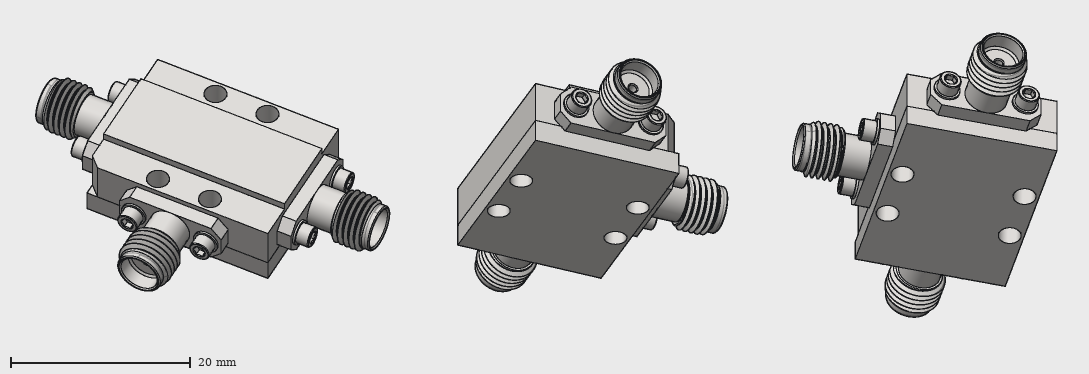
import cadquery as cq
import math

block_x = 22.61
block_y = 17.27
total_height = 8.51
plate_thickness = 2.67
strip_height = 0.89
strip_width = 9.14
corner_chamfer = 1.32

mount_hole_diameter = 2.54
mount_hole_spacing_x = 6.5
mount_hole_spacing_y = 14.05

axis_height = 4.57
flange_length = 12.7
flange_height = 4.83
flange_thickness = 1.73
flange_chamfer = 1.27

connector_length = 9.525
neck_diameter = 4.83
barrel_length = 4.75
root_diameter = 5.33
face_chamfer = 0.13
front_ring_length = 0.9

bore_diameter = 4.52
bore_mouth_diameter = 4.83
bore_depth = 1.85
cone_end_diameter = 3.9
cone_depth = 0.2
contact_hole_diameter = 0.94
contact_mouth_diameter = 1.19
contact_depth = 1.5

thread_diameter = 6.35
threads_per_inch = 36
thread_pitch = 25.4 / threads_per_inch
ridge_base = 0.9 * thread_pitch
crest_flat = 0.06
root_overlap = 0.05
crest_clearance = 0.1

screw_spacing = 9.0
washer_diameter = 2.95
washer_thickness = 0.25
head_diameter = 2.44
head_height = 1.54
head_chamfer = 0.1
socket_flats = 1.27
socket_depth = 0.8
socket_mouth_diameter = 1.52

housing_top = total_height - strip_height
barrel_start = connector_length - barrel_length
thread_end = connector_length - front_ring_length


def cut_mount_holes(body):
    """Drill the four vertical mounting holes through a body."""
    drills = (
        cq.Workplane("XY")
        .rarray(mount_hole_spacing_x, mount_hole_spacing_y, 2, 2)
        .circle(mount_hole_diameter / 2)
        .extrude(total_height)
    )
    return body.cut(drills)


def make_base_plate():
    plate = cq.Workplane("XY").box(block_x, block_y, plate_thickness, centered=(True, True, False))
    return cut_mount_holes(plate)


def make_block():
    """Block on the plate, with a raised centre strip and one chamfered corner."""
    block = (
        cq.Workplane("XY", origin=(0, 0, plate_thickness))
        .box(block_x, block_y, housing_top - plate_thickness, centered=(True, True, False))
        .edges("|Z and <X and <Y")
        .chamfer(corner_chamfer)
    )
    strip = cq.Workplane("XY", origin=(0, 0, housing_top)).box(
        block_x, strip_width, strip_height, centered=(True, True, False)
    )
    return cut_mount_holes(block.union(strip))




def make_flange():
    return (
        cq.Workplane("XY")
        .rect(flange_length, flange_height)
        .extrude(flange_thickness)
        .edges("|Z")
        .chamfer(flange_chamfer)
    )


def make_thread_ridge():
    """Right-handed helical ridge that runs past both ends of the thread."""
    inner_radius = root_diameter / 2 - root_overlap
    crest_radius = thread_diameter / 2
    helix_start = barrel_start - ridge_base
    helix_length = thread_end - barrel_start + 2 * ridge_base
    path = cq.Wire.makeHelix(thread_pitch, helix_length, inner_radius, center=cq.Vector(0, 0, helix_start))
    return (
        cq.Workplane("XZ")
        .moveTo(inner_radius, helix_start - ridge_base / 2)
        .lineTo(crest_radius, helix_start - crest_flat / 2)
        .lineTo(crest_radius, helix_start + crest_flat / 2)
        .lineTo(inner_radius, helix_start + ridge_base / 2)
        .close()
        .sweep(cq.Workplane(path), isFrenet=True)
    )


def make_barrel_envelope():
    """Neck, thread tapered to the root at both ends, and chamfered front ring, as one turned shape."""
    neck_radius = neck_diameter / 2
    root_radius = root_diameter / 2
    outer_radius = thread_diameter / 2 + crest_clearance
    taper = outer_radius - root_radius
    return (
        cq.Workplane("XZ")
        .lineTo(neck_radius, 0)
        .lineTo(neck_radius, barrel_start)
        .lineTo(root_radius, barrel_start)
        .lineTo(outer_radius, barrel_start + taper)
        .lineTo(outer_radius, thread_end - taper)
        .lineTo(root_radius, thread_end)
        .lineTo(root_radius, connector_length - face_chamfer)
        .lineTo(root_radius - face_chamfer, connector_length)
        .lineTo(0, connector_length)
        .close()
        .revolve(360, (0, 0), (0, 1))
    )


def make_barrel():
    """Neck and threaded barrel."""
    core = cq.Workplane("XY").circle(root_diameter / 2).extrude(connector_length)
    return core.union(make_thread_ridge()).intersect(make_barrel_envelope())


def make_bore():
    """Cavity of the connector: chamfered mouth, conical floor edge and contact hole."""
    floor = connector_length - bore_depth - cone_depth
    mouth_chamfer = (bore_mouth_diameter - bore_diameter) / 2
    contact_chamfer = (contact_mouth_diameter - contact_hole_diameter) / 2
    return (
        cq.Workplane("XZ")
        .moveTo(0, floor - contact_depth)
        .lineTo(contact_hole_diameter / 2, floor - contact_depth)
        .lineTo(contact_hole_diameter / 2, floor - contact_chamfer)
        .lineTo(contact_mouth_diameter / 2, floor)
        .lineTo(cone_end_diameter / 2, floor)
        .lineTo(bore_diameter / 2, floor + cone_depth)
        .lineTo(bore_diameter / 2, connector_length - mouth_chamfer)
        .lineTo(bore_mouth_diameter / 2, connector_length)
        .lineTo(0, connector_length)
        .close()
        .revolve(360, (0, 0), (0, 1))
    )


def make_screw():
    """Washer and socket head standing on the flange face."""
    washer = cq.Workplane("XY").circle(washer_diameter / 2).extrude(washer_thickness)
    head_top = washer_thickness + head_height
    head = (
        cq.Workplane("XY")
        .circle(head_diameter / 2)
        .extrude(head_top)
        .faces(">Z")
        .chamfer(head_chamfer)
    )
    socket_corners = socket_flats / math.cos(math.pi / 6)
    socket = (
        cq.Workplane("XY", origin=(0, 0, head_top - socket_depth))
        .polygon(6, socket_corners)
        .extrude(socket_depth)
    )
    mouth_depth = (socket_mouth_diameter - socket_flats) / 2
    mouth = cq.Workplane(
        cq.Solid.makeCone(
            socket_flats / 2,
            socket_mouth_diameter / 2,
            mouth_depth,
            cq.Vector(0, 0, head_top - mouth_depth),
        )
    )
    return washer.union(head).cut(socket).cut(mouth)


def make_connector():
    connector = make_flange().union(make_barrel()).cut(make_bore())
    for side in (-1, 1):
        connector = connector.union(make_screw().translate((side * screw_spacing / 2, 0, flange_thickness)))
    return connector


def make_housing():
    """Block with one connector on each of the -X, +X and -Y walls."""
    connector = make_connector().val()
    walls = [
        ((-block_x / 2, 0, axis_height), (0, -1, 0), (-1, 0, 0)),
        ((block_x / 2, 0, axis_height), (0, 1, 0), (1, 0, 0)),
        ((0, -block_y / 2, axis_height), (1, 0, 0), (0, -1, 0)),
    ]
    housing = make_block()
    for origin, flange_direction, outward in walls:
        wall = cq.Plane(origin=origin, xDir=flange_direction, normal=outward)
        housing = housing.union(cq.Workplane(connector.moved(cq.Location(wall))))
    return housing


base_plate = make_base_plate()
housing = make_housing()

result = cq.Compound.makeCompound([base_plate.val(), housing.val()])